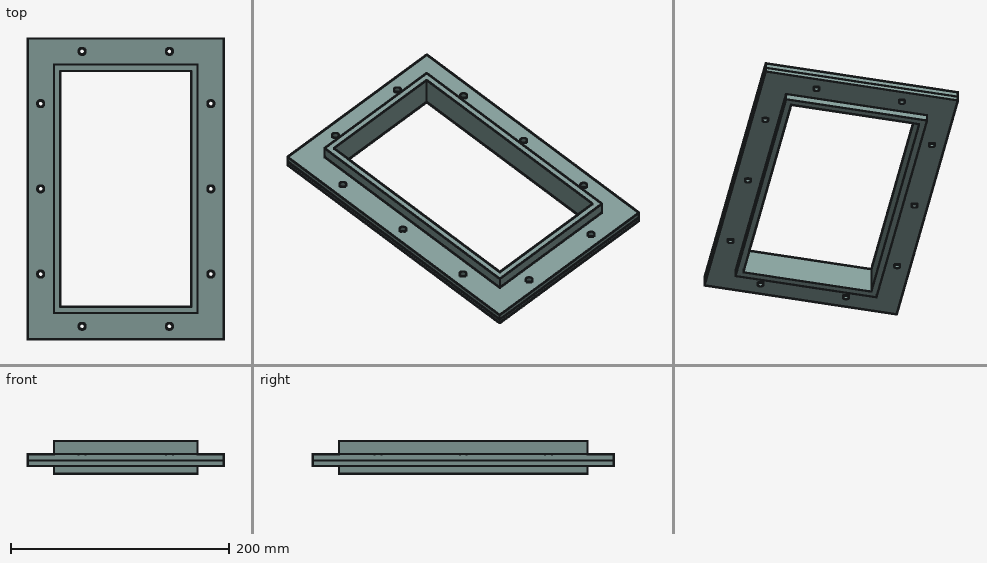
import cadquery as cq

flange_x = 180.0
flange_y = 276.0
border = 24.0
clamp_ring_thickness = 6.0
duct_flange_thickness = 5.0

wall = 6.0
total_height = 30.0
duct_x = flange_x - 2 * border
duct_y = flange_y - 2 * border

duct_bottom = -total_height / 2
ring_top = clamp_ring_thickness / 2
ring_bottom = -ring_top
flange_bottom = ring_bottom - duct_flange_thickness

ring_hole_diameter = 6.3
flange_hole_diameter = 5.5
end_hole_pitch = 80.0
side_hole_pitch = 78.0
bolt_x = (flange_x - border) / 2
bolt_y = (flange_y - border) / 2
end_bolts = [(sx * end_hole_pitch / 2, sy * bolt_y) for sx in (-1, 1) for sy in (-1, 1)]
side_bolts = [(sx * bolt_x, row * side_hole_pitch) for sx in (-1, 1) for row in (-1, 0, 1)]
bolt_points = end_bolts + side_bolts


def block(size_x, size_y, bottom, height):
    """Centred rectangular block standing on the given level."""
    return cq.Workplane("XY", origin=(0, 0, bottom)).rect(size_x, size_y).extrude(height)


def drilled_plate(bottom, thickness, hole_diameter):
    """Full-size flange plate with the bolt holes through it."""
    plate = block(flange_x, flange_y, bottom, thickness)
    holes = (
        cq.Workplane("XY", origin=(0, 0, bottom))
        .pushPoints(bolt_points)
        .circle(hole_diameter / 2)
        .extrude(thickness)
    )
    return plate.cut(holes)


def make_flanged_duct():
    """Rectangular tube with a flange around its outside."""
    flange = drilled_plate(flange_bottom, duct_flange_thickness, flange_hole_diameter)
    tube = block(duct_x, duct_y, duct_bottom, total_height)
    opening = block(duct_x - 2 * wall, duct_y - 2 * wall, duct_bottom, total_height)
    return flange.union(tube).cut(opening)


def make_clamp_ring():
    """Flat frame that fits around the duct and rests on its flange."""
    plate = drilled_plate(ring_bottom, clamp_ring_thickness, ring_hole_diameter)
    return plate.cut(block(duct_x, duct_y, ring_bottom, clamp_ring_thickness))


flanged_duct = make_flanged_duct()
clamp_ring = make_clamp_ring()

result = cq.Compound.makeCompound([flanged_duct.val(), clamp_ring.val()])